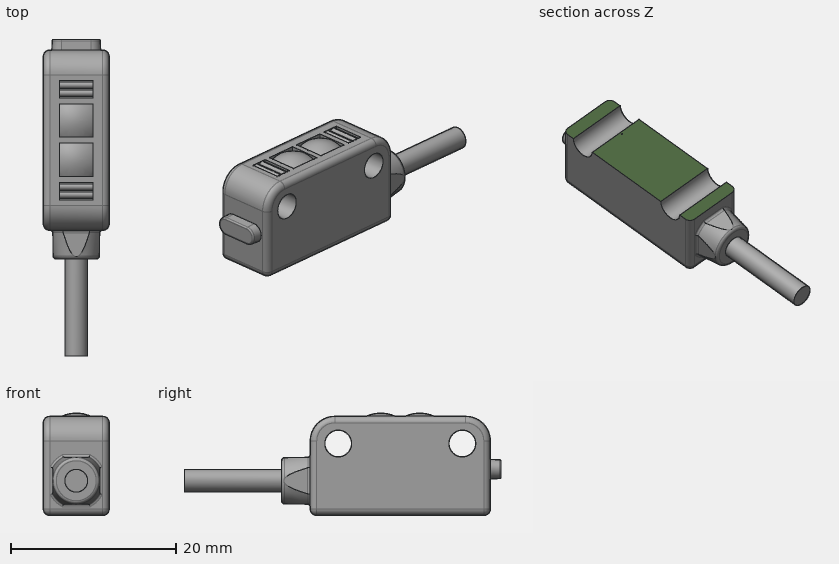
import cadquery as cq
import math

housing_width = 8.0
housing_length = 21.8
housing_height = 12.0
corner_radius = 3.0
edge_radius = 0.8

hole_diameter = 3.2
hole_spacing = 15.0
hole_height = 8.7

window_width = 4.1
lens_window_length = 4.0
lens_offset = 2.36
lens_window_depth = 1.5
lens_radius = 4.2
lens_rise = 0.39
lamp_window_inner = 5.1
lamp_window_length = 2.1
lamp_window_depth = 0.3
rib_gap = 0.16
rib_crest_depth = 0.02
ribs_per_lamp = 2

button_width = 5.95
button_height = 2.4
button_length = 1.3
button_center_z = 5.6
button_taper = 3.0
button_edge_radius = 0.2

cable_center_z = 4.2
gland_length = 3.46
gland_root_radius = 3.3
gland_tip_radius = 2.76
gland_root_width = 5.7
gland_tip_width = 5.6
gland_root_fillet = 0.3
gland_tip_fillet = 0.4
cable_diameter = 2.75
cable_length = 11.75

front_y = -housing_length / 2
back_y = housing_length / 2


def make_housing():
    """Block with large upper corners and every edge rounded."""
    block = cq.Workplane("XY").box(
        housing_width, housing_length, housing_height, centered=(True, True, False)
    )
    block = block.edges("|X and >Z").fillet(corner_radius)
    return block.faces("<X or >X or <Z").edges().fillet(edge_radius)


def end_plane(y, z, direction):
    """Plane on an end of the housing, its normal along +Y or -Y."""
    return cq.Plane(origin=(0, y, z), xDir=(1, 0, 0), normal=(0, direction, 0))


def flared_profile(plane, root_half_width, tip_half_width):
    """Half outline of the gland from its axis: a tapered wall with a rounded root.

    The first axis of the plane points away from the gland axis and the second one along it.
    """
    taper = math.atan2(root_half_width - tip_half_width, gland_length)
    half_corner = (math.pi / 2 + taper) / 2
    setback = gland_root_fillet / math.tan(half_corner)
    foot = root_half_width + setback
    bulge = gland_root_fillet / math.sin(half_corner) - gland_root_fillet
    arc_middle = (root_half_width + bulge * math.cos(half_corner), bulge * math.sin(half_corner))
    wall_start = (root_half_width - setback * math.sin(taper), setback * math.cos(taper))
    return (
        cq.Workplane(plane)
        .lineTo(foot, 0)
        .threePointArc(arc_middle, wall_start)
        .lineTo(tip_half_width, gland_length)
        .lineTo(0, gland_length)
        .close()
    )


def make_gland():
    """Tapered cone trimmed by four drafted flats, with a rounded root and tip."""
    root_center = (0, front_y, cable_center_z)
    side_plane = cq.Plane(origin=root_center, xDir=(1, 0, 0), normal=(0, 0, -1))
    gland = flared_profile(side_plane, gland_root_radius, gland_tip_radius).revolve(
        360, (0, 0), (0, 1)
    )
    gland = gland.faces("<Y").edges().fillet(gland_tip_fillet)
    half_flat = flared_profile(side_plane, gland_root_width / 2, gland_tip_width / 2).extrude(
        housing_width / 2, both=True
    )
    flats = half_flat.union(half_flat.mirror("YZ"))
    axis_end = (0, front_y - gland_length, cable_center_z)
    turned_flats = flats.rotate(root_center, axis_end, 90)
    return gland.intersect(flats).intersect(turned_flats)


def make_cable():
    tip_y = front_y - gland_length
    plane = end_plane(tip_y, cable_center_z, -1)
    return cq.Workplane(plane).circle(cable_diameter / 2).extrude(cable_length)


def make_button():
    """Tapered button with round ends and a softened outer edge."""
    plane = end_plane(back_y, button_center_z, 1)
    outline = cq.Workplane(plane).slot2D(button_width, button_height)
    button = outline.extrude(button_length, taper=button_taper)
    return button.faces(">Y").edges().fillet(button_edge_radius)


def window_block(center_y, length, depth, rise=0.0):
    """Block with the outline of a window, from its floor to a rise above the top face."""
    return (
        cq.Workplane("XY", origin=(0, center_y, housing_height - depth))
        .rect(window_width, length)
        .extrude(depth + rise)
    )


def make_lens(center_y):
    """Spherical lens that fills its window from wall to wall."""
    sphere_z = housing_height + lens_rise - lens_radius
    sphere = cq.Workplane("XY", origin=(0, center_y, sphere_z)).sphere(lens_radius)
    block = window_block(center_y, lens_window_length, lens_window_depth, lens_rise)
    return block.intersect(sphere)


def make_lamp_ribs(center_y):
    """Rounded ribs across a lamp window, with crests just below the top face."""
    rib_pitch = (lamp_window_length - rib_gap) / ribs_per_lamp
    rib_radius = (rib_pitch - rib_gap) / 2
    first_y = center_y - rib_pitch * (ribs_per_lamp - 1) / 2
    axis_z = housing_height - rib_crest_depth - rib_radius
    ribs = cq.Workplane("YZ", origin=(-window_width / 2, 0, axis_z))
    for index in range(ribs_per_lamp):
        ribs = ribs.moveTo(first_y + rib_pitch * index, 0).circle(rib_radius)
    return ribs.extrude(window_width)


def cut_mounting_holes(body):
    holes = (
        cq.Workplane("YZ", origin=(-housing_width / 2, 0, hole_height))
        .pushPoints([(-hole_spacing / 2, 0), (hole_spacing / 2, 0)])
        .circle(hole_diameter / 2)
        .extrude(housing_width)
    )
    return body.cut(holes)


def add_lens(body, side):
    center_y = side * lens_offset
    body = body.cut(window_block(center_y, lens_window_length, lens_window_depth))
    return body.union(make_lens(center_y))


def add_lamp(body, side):
    center_y = side * (lamp_window_inner + lamp_window_length / 2)
    body = body.cut(window_block(center_y, lamp_window_length, lamp_window_depth))
    return body.union(make_lamp_ribs(center_y))


result = make_housing().union(make_gland()).union(make_cable()).union(make_button())
result = cut_mounting_holes(result)
for side in (-1, 1):
    result = add_lens(result, side)
    result = add_lamp(result, side)